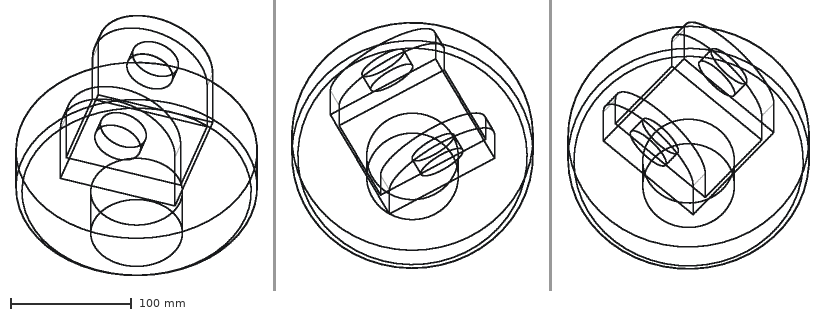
import cadquery as cq

shaft_diameter = 76.0
shaft_length = 50.0
disc_diameter = 200.0
disc_height = 50.0
disc_chamfer = 5.0
clevis_size = 100.0
base_plate_thickness = 10.0
lug_thickness = 15.0
pin_hole_diameter = 40.0
pin_hole_height = 50.0

disc_bottom = shaft_length
disc_top = disc_bottom + disc_height
plate_top = disc_top + base_plate_thickness
pin_axis_z = plate_top + pin_hole_height
lug_radius = clevis_size / 2


def make_shaft():
    return cq.Workplane("XY").circle(shaft_diameter / 2).extrude(shaft_length)


def make_disc():
    """Round flange with a chamfered lower rim."""
    disc = cq.Workplane("XY", origin=(0, 0, disc_bottom)).circle(disc_diameter / 2).extrude(disc_height)
    return disc.faces("<Z").edges().chamfer(disc_chamfer)


def make_base_plate():
    plate = cq.Workplane("XY", origin=(0, 0, disc_top))
    return plate.rect(clevis_size, clevis_size).extrude(base_plate_thickness)


def make_lug(front_y):
    """Round-topped lug with a pin hole, reaching from front_y towards +Y."""
    lug = (
        cq.Workplane("XZ", origin=(0, front_y, 0))
        .moveTo(-lug_radius, plate_top)
        .lineTo(lug_radius, plate_top)
        .lineTo(lug_radius, pin_axis_z)
        .threePointArc((0, pin_axis_z + lug_radius), (-lug_radius, pin_axis_z))
        .close()
        .extrude(-lug_thickness)
    )
    hole = (
        cq.Workplane("XZ", origin=(0, front_y, pin_axis_z))
        .circle(pin_hole_diameter / 2)
        .extrude(-lug_thickness)
    )
    return lug.cut(hole)


result = make_shaft().union(make_disc()).union(make_base_plate())
for lug_front_y in (-clevis_size / 2, clevis_size / 2 - lug_thickness):
    result = result.union(make_lug(lug_front_y))